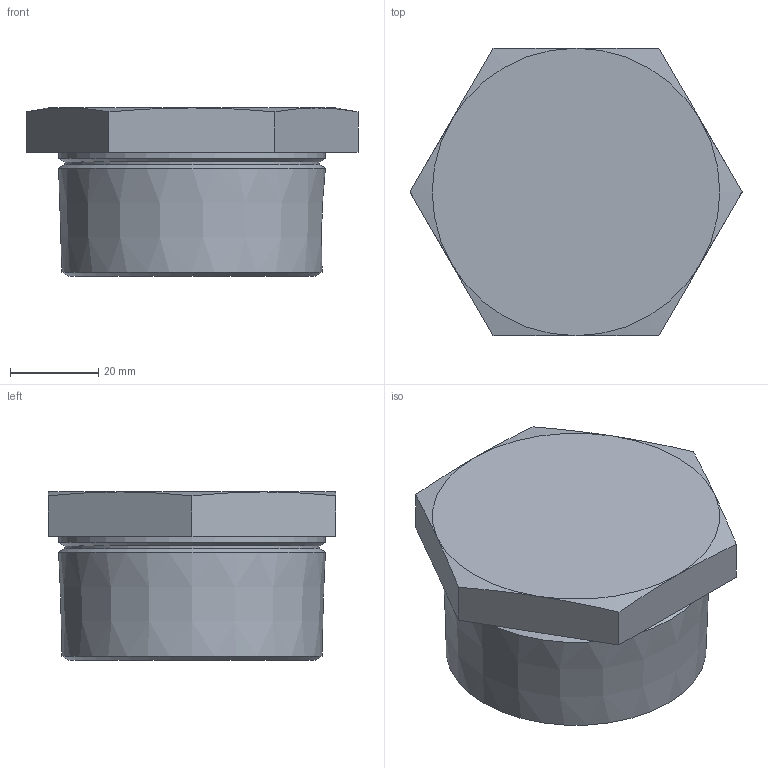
import cadquery as cq
import math

head_sides = 6
across_flats = 65.0
head_height = 10.0
head_chamfer_angle = 10.0
cone_overreach = 1.0

total_height = 38.0
plug_top_radius = 30.15
taper_per_side = 1 / 32
end_chamfer_height = 0.9
collar_height = 1.4

groove_depth = 1.4
groove_floor_width = 0.6
flank_angle = 30.0

head_bottom = total_height - head_height
collar_bottom = head_bottom - collar_height
flank_slope = math.tan(math.radians(flank_angle))
flank_height = groove_depth * flank_slope
groove_floor_top = collar_bottom - flank_height
groove_floor_bottom = groove_floor_top - groove_floor_width
plug_top = groove_floor_bottom - flank_height

groove_radius = plug_top_radius - groove_depth
plug_end_radius = plug_top_radius - (plug_top - end_chamfer_height) * taper_per_side
end_face_radius = plug_end_radius - end_chamfer_height / flank_slope


def revolve_profile(points):
    """Solid of revolution about Z from (radius, height) points, with its seam on the -X side."""
    profile = [(-radius, height) for radius, height in points]
    return cq.Workplane("XZ").polyline(profile).close().revolve(360, (0, 0), (0, 1))


def make_head():
    """Hexagon with two corners on the X axis and a conical top chamfer."""
    across_corners = across_flats / math.cos(math.pi / head_sides)
    hexagon = (
        cq.Workplane("XY")
        .workplane(offset=head_bottom)
        .polygon(head_sides, across_corners)
        .extrude(head_height)
    )
    flat_radius = across_flats / 2
    cone_radius = across_corners / 2 + cone_overreach
    cone_drop = (cone_radius - flat_radius) * math.tan(math.radians(head_chamfer_angle))
    chamfer_envelope = revolve_profile([
        (0, head_bottom),
        (cone_radius, head_bottom),
        (cone_radius, total_height - cone_drop),
        (flat_radius, total_height),
        (0, total_height),
    ])
    return hexagon.intersect(chamfer_envelope)


def make_plug():
    """Tapered plug with end chamfer, relief groove and collar."""
    return revolve_profile([
        (0, 0),
        (end_face_radius, 0),
        (plug_end_radius, end_chamfer_height),
        (plug_top_radius, plug_top),
        (groove_radius, groove_floor_bottom),
        (groove_radius, groove_floor_top),
        (plug_top_radius, collar_bottom),
        (plug_top_radius, head_bottom),
        (0, head_bottom),
    ])


result = make_head().union(make_plug())